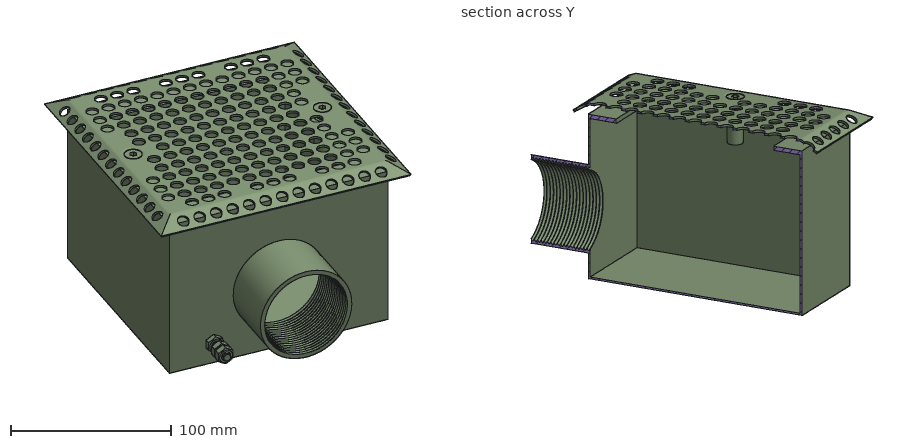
import cadquery as cq
import math

sheet = 1.5
box_side = 150.0
box_bottom = -115.8
box_top = -7.5
box_opening = 110.5
ledge_thickness = 3.0

cover_side = 171.5
skirt_angle = 30.0
skirt_run = 11.2
bend_radius = 2.6

grate_hole_diameter = 8.0
grate_span = 133.7
skirt_hole_diameter = 7.5
skirt_hole_span = 135.7
last_hole = 6
grate_edge_columns = (3, 4, 5)
grate_edge_gap_row = 2

screw_offset = 64.8
screw_diameter = 6.0
screw_head_diameter = 11.2
screw_head_z = -0.2
screw_length = 20.0
screw_socket_across_flats = 4.0
screw_socket_depth = 3.0
countersink_diameter = 15.3
dimple_angle = 30.0

insert_diameter = 10.0
insert_bottom = -30.5

pipe_diameter = 62.6
pipe_groove_count = 18
pipe_groove_depth = 1.49
pipe_bore_diameter = 56.6
pipe_z = -69.9
pipe_end = 115.0

bolt_y = -44.8
bolt_z = -101.0
bolt_diameter = 6.0
bolt_tip_diameter = 4.8
bolt_tip_length = 1.2
bolt_head_height = 4.0
bolt_shank_length = 16.0
hex_across_flats = 10.0
hex_face_diameter = 8.8
hex_chamfer_angle = 30.0
nut_height = 5.6
nut_gap = 3.0
nut_count = 2

wall_x = box_side / 2
bend_half = cover_side / 2 - skirt_run
skirt_drop = skirt_run * math.tan(math.radians(skirt_angle))
hex_corner_ratio = 1 / math.cos(math.pi / 6)
hex_corner_diameter = hex_across_flats * hex_corner_ratio
dimple_radius = (countersink_diameter - screw_head_diameter) / 2 / math.sin(math.radians(dimple_angle))
seat_z = -dimple_radius * (1 - math.cos(math.radians(dimple_angle)))
screw_places = (-screw_offset, screw_offset)
grate_pitch = grate_span / (2 * last_hole)
skirt_pitch = skirt_hole_span / (2 * last_hole)
hole_steps = range(-last_hole, last_hole + 1)


def along_x(x, y=0.0, z=0.0):
    """Workplane facing +X with its origin at the given point."""
    return cq.Workplane("YZ", origin=(x, y, z))


def make_housing():
    """Hollow box with an inward ledge at the top, holes for the inserts and the outlet pipe on its wall."""
    height = box_top - box_bottom
    inner_side = box_side - 2 * sheet
    inner_height = height - sheet - ledge_thickness
    box = cq.Workplane("XY", origin=(0, 0, box_bottom)).rect(box_side, box_side).extrude(height)
    cavity = (
        cq.Workplane("XY", origin=(0, 0, box_bottom + sheet))
        .rect(inner_side, inner_side)
        .extrude(inner_height)
    )
    opening = (
        cq.Workplane("XY", origin=(0, 0, box_top)).rect(box_opening, box_opening).extrude(-ledge_thickness)
    )
    pipe_hole = along_x(wall_x, z=pipe_z).circle(pipe_diameter / 2).extrude(-sheet)
    insert_holes = (
        cq.Workplane("XY", origin=(0, 0, box_top))
        .pushPoints([(0, y) for y in screw_places])
        .circle(insert_diameter / 2)
        .extrude(-ledge_thickness)
    )
    return box.cut(cavity).cut(opening).cut(pipe_hole).cut(insert_holes).union(make_pipe())


def make_pipe():
    """Outlet tube that starts flush with the inside of the wall; its bore has V grooves side by side."""
    start = wall_x - sheet
    groove_pitch = (pipe_end - start) / pipe_groove_count
    crest_radius = pipe_bore_diameter / 2
    root_radius = crest_radius + pipe_groove_depth
    profile = [(pipe_end, pipe_diameter / 2), (start, pipe_diameter / 2), (start, crest_radius)]
    for index in range(pipe_groove_count):
        groove_x = start + index * groove_pitch
        profile.append((groove_x + groove_pitch / 2, root_radius))
        profile.append((groove_x + groove_pitch, crest_radius))
    pipe = cq.Workplane("XZ").polyline(profile).close().revolve(360, (0, 0, 0), (1, 0, 0))
    return pipe.translate((0, 0, pipe_z))


def frustum(top_half, top_z, bottom_half, bottom_z):
    """Square pyramid frustum centred on the Z axis."""
    return (
        cq.Workplane("XY", origin=(0, 0, bottom_z))
        .rect(2 * bottom_half, 2 * bottom_half)
        .workplane(offset=top_z - bottom_z)
        .rect(2 * top_half, 2 * top_half)
        .loft(ruled=True)
    )


def make_cover_shell():
    """Flat sheet with a sloping skirt on all four sides."""
    angle = math.radians(skirt_angle)
    edge_half = cover_side / 2
    edge_z = -skirt_drop
    lip_half = edge_half - sheet * math.sin(angle)
    lip_z = edge_z - sheet * math.cos(angle)
    inner_half = bend_half - sheet * math.tan(angle / 2)
    outer = frustum(bend_half, 0, edge_half, edge_z).faces(">Z").edges().fillet(bend_radius)
    lip = frustum(edge_half, edge_z, lip_half, lip_z)
    under = frustum(inner_half, -sheet, lip_half, lip_z).faces(">Z").edges().fillet(bend_radius - sheet)
    return outer.union(lip).cut(under)


def is_grate_hole(column, row):
    """Tell which places of the square grid are holes; some near the edges and the screws stay solid."""
    i = abs(column)
    j = abs(row)
    if j == last_hole:
        return i in grate_edge_columns
    if i == last_hole:
        return j != grate_edge_gap_row
    return (i, j) != (0, last_hole - 1)


def make_cover():
    """Perforated cover with sloping perforated skirt and countersunk screw holes."""
    grate_points = [
        (column * grate_pitch, row * grate_pitch)
        for column in hole_steps
        for row in hole_steps
        if is_grate_hole(column, row)
    ]
    grate_holes = cq.Workplane("XY").pushPoints(grate_points).circle(grate_hole_diameter / 2).extrude(-sheet)
    cover = make_cover_shell().cut(grate_holes)

    angle = math.radians(skirt_angle)
    skirt_plane = cq.Plane(
        origin=(bend_half + skirt_run / 2, 0, -skirt_drop / 2),
        xDir=(0, 1, 0),
        normal=(math.sin(angle), 0, math.cos(angle)),
    )
    skirt_holes = (
        cq.Workplane(skirt_plane)
        .pushPoints([(step * skirt_pitch, 0) for step in hole_steps])
        .circle(skirt_hole_diameter / 2)
        .extrude(-sheet)
    )
    for side in range(4):
        cover = cover.cut(skirt_holes.rotate((0, 0, 0), (0, 0, 1), 90 * side))

    countersink = (
        cq.Workplane("XZ")
        .moveTo(0, 0)
        .lineTo(countersink_diameter / 2, 0)
        .radiusArc((screw_head_diameter / 2, seat_z), -dimple_radius)
        .lineTo(screw_head_diameter / 2 - seat_z - sheet, -sheet)
        .lineTo(0, -sheet)
        .close()
        .revolve(360, (0, 0, 0), (0, 1, 0))
    )
    for y in screw_places:
        cover = cover.cut(countersink.translate((0, y, 0)))
    return cover


def make_screw(y):
    """Countersunk screw with a hexagonal socket that ends in a drill point."""
    head_radius = screw_head_diameter / 2
    shank_radius = screw_diameter / 2
    profile = [
        (0, screw_head_z),
        (head_radius, screw_head_z),
        (head_radius, seat_z),
        (shank_radius, seat_z - head_radius + shank_radius),
        (shank_radius, -screw_length),
        (0, -screw_length),
    ]
    screw = cq.Workplane("XZ").polyline(profile).close().revolve(360, (0, 0, 0), (0, 1, 0))
    socket_corners = screw_socket_across_flats * hex_corner_ratio
    socket = (
        cq.Workplane("XY", origin=(0, 0, screw_head_z))
        .transformed(rotate=(0, 0, 90))
        .polygon(6, socket_corners)
        .extrude(-screw_socket_depth)
    )
    point_radius = screw_socket_across_flats / 2
    point_start = cq.Vector(0, 0, screw_head_z - screw_socket_depth)
    drill_point = cq.Solid.makeCone(point_radius, 0, point_radius / 2, point_start, cq.Vector(0, 0, -1))
    return screw.cut(socket).cut(drill_point).translate((0, y, 0))


def make_insert(y):
    """Sleeve flush with the top of the ledge, with the screw in its bore."""
    return (
        cq.Workplane("XY", origin=(0, y, insert_bottom))
        .circle(insert_diameter / 2)
        .circle(screw_diameter / 2)
        .extrude(box_top - insert_bottom)
    )


def make_hex(start, height):
    """Hexagonal prism along X with chamfered corners on its outer end, one flat facing -Y."""
    corner_radius = hex_corner_diameter / 2
    face_radius = hex_face_diameter / 2
    chamfer_length = (corner_radius - face_radius) * math.tan(math.radians(hex_chamfer_angle))
    prism = (
        along_x(start, bolt_y, bolt_z)
        .transformed(rotate=(0, 0, 90))
        .polygon(6, hex_corner_diameter)
        .extrude(height)
    )
    envelope_profile = [
        (0, 0),
        (0, corner_radius),
        (height - chamfer_length, corner_radius),
        (height, face_radius),
        (height, 0),
    ]
    envelope = cq.Workplane("XY").polyline(envelope_profile).close().revolve(360, (0, 0, 0), (1, 0, 0))
    return prism.intersect(envelope.translate((start, bolt_y, bolt_z)))


def make_bolt():
    """Hexagon bolt with its head against the wall and its shank pointing outwards to a narrower tip."""
    shank_start = wall_x + bolt_head_height
    shank = (
        along_x(shank_start, bolt_y, bolt_z)
        .circle(bolt_diameter / 2)
        .extrude(bolt_shank_length - bolt_tip_length)
        .faces(">X")
        .chamfer((bolt_diameter - bolt_tip_diameter) / 2)
    )
    tip = along_x(shank_start, bolt_y, bolt_z).circle(bolt_tip_diameter / 2).extrude(bolt_shank_length)
    return make_hex(wall_x, bolt_head_height).union(shank).union(tip)


def make_nut(index):
    """Hexagon nut on the bolt, chamfered on both ends; the nuts stand face to face."""
    start = wall_x + bolt_head_height + nut_gap + index * nut_height
    bore = along_x(start, bolt_y, bolt_z).circle(bolt_diameter / 2).extrude(nut_height)
    middle = cq.Vector(start + nut_height / 2, bolt_y, bolt_z)
    outer_end = make_hex(start, nut_height)
    inner_end = outer_end.rotate(middle.toTuple(), (middle + cq.Vector(0, 0, 2)).toTuple(), 180)
    return outer_end.intersect(inner_end).cut(bore)


housing = make_housing()
cover = make_cover()
screws = [make_screw(y) for y in screw_places]
inserts = [make_insert(y) for y in screw_places]
bolt = make_bolt()
nuts = [make_nut(index) for index in range(nut_count)]

result = cq.Compound.makeCompound(
    [
        housing.val(),
        cover.val(),
        *[screw.val() for screw in screws],
        *[insert.val() for insert in inserts],
        bolt.val(),
        *[nut.val() for nut in nuts],
    ]
)